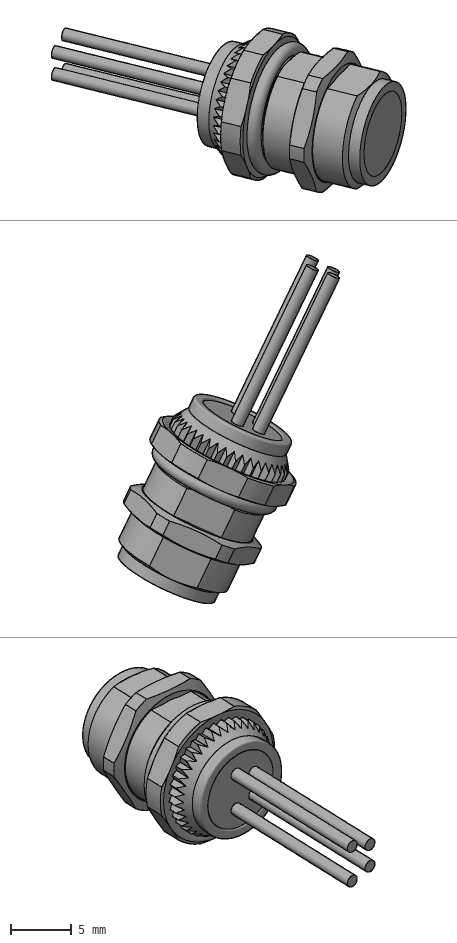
import cadquery as cq
import math


COLLAR_END = 1.18
TEETH_CREST_START = 2.4
FLANGE_START = 2.95
FLANGE_END = 5.0
THREAD_START = 6.05
THREAD_END = 13.95
HOUSING_END = 15.0
NUT_START = 8.95
NUT_END = 10.92

COLLAR_DIAMETER = 9.0
COLLAR_EDGE_RADIUS = 0.18
GROOVE_DIAMETER = 8.9
NOSE_DIAMETER = 8.9
THREAD_DIAMETER = 10.0
THREAD_ACROSS_FLATS = 9.0
THREAD_CHAMFER_LENGTH = 0.3
FLANGE_ACROSS_FLATS = 12.0
FLANGE_DIAMETER = 12.57
FLANGE_FACE_DIAMETER = 12.05
FLANGE_CHAMFER_LENGTH = 0.12
DISH_DIAMETER = 11.62
DISH_DEPTH = 0.3

CONE_BASE_DIAMETER = 8.75
TEETH_COUNT = 40
TEETH_CREST_DIAMETER = 10.62
TEETH_ROOT_DIAMETER = 9.74

BORE_DIAMETER = 7.25
BORE_MOUTH_RADIUS = 0.15
INSERT_RECESS = 0.18
WIRE_DIAMETER = 1.1
OVERALL_LENGTH = 29.5
WIRE_PROTRUSION = OVERALL_LENGTH - HOUSING_END
WIRE_CENTERS = [(0.47, 1.7), (-1.48, 1.05), (-1.48, -1.05), (0.47, -1.7)]

RING_INNER_DIAMETER = 9.0
RING_SECTION_DIAMETER = 1.18

NUT_BORE_DIAMETER = 9.17
NUT_ACROSS_FLATS = 11.0
NUT_DIAMETER = 12.0
NUT_FACE_DIAMETER = 10.2
NUT_CHAMFER_LENGTH = 0.32


def cylinder(diameter, start, end):
    return cq.Workplane("YZ", origin=(start, 0, 0)).circle(diameter / 2).extrude(end - start)


def turned(profile):
    """Revolve an outline of (x, radius) points around the X axis."""
    return cq.Workplane("XY").polyline(profile).close().revolve(360, (0, 0, 0), (1, 0, 0))


def double_chamfered_disc(diameter, face_diameter, chamfer_length, start, end):
    return turned([
        (start, 0),
        (start, face_diameter / 2),
        (start + chamfer_length, diameter / 2),
        (end - chamfer_length, diameter / 2),
        (end, face_diameter / 2),
        (end, 0),
    ])


def hex_prism(across_flats, start, end):
    """Hexagonal prism along X with two flats facing up and down."""
    corner_diameter = across_flats / math.cos(math.pi / 6)
    return cq.Workplane("YZ", origin=(start, 0, 0)).polygon(6, corner_diameter).extrude(end - start)


def make_toothed_cone(end):
    """Cone cut by axial V grooves, which leave pointed teeth."""
    start = COLLAR_END - COLLAR_EDGE_RADIUS
    cone = turned([
        (start, 0),
        (start, CONE_BASE_DIAMETER / 2),
        (TEETH_CREST_START, TEETH_CREST_DIAMETER / 2),
        (end, TEETH_CREST_DIAMETER / 2),
        (end, 0),
    ])
    star = []
    for step in range(2 * TEETH_COUNT):
        radius = (TEETH_CREST_DIAMETER if step % 2 else TEETH_ROOT_DIAMETER) / 2
        angle = math.pi * step / TEETH_COUNT
        star.append((radius * math.cos(angle), radius * math.sin(angle)))
    toothed_bar = cq.Workplane("YZ", origin=(start, 0, 0)).polyline(star).close().extrude(end - start)
    return cone.intersect(toothed_bar)


def make_flange():
    """Hexagonal flange with turned corners and a shallow conical dish in its rear face."""
    blank = double_chamfered_disc(
        FLANGE_DIAMETER, FLANGE_FACE_DIAMETER, FLANGE_CHAMFER_LENGTH, FLANGE_START, FLANGE_END
    )
    dish = turned([
        (FLANGE_START, 0),
        (FLANGE_START, DISH_DIAMETER / 2),
        (FLANGE_START + DISH_DEPTH, TEETH_ROOT_DIAMETER / 2),
        (FLANGE_START + DISH_DEPTH, 0),
    ])
    return blank.intersect(hex_prism(FLANGE_ACROSS_FLATS, FLANGE_START, FLANGE_END)).cut(dish)


def make_thread():
    """Thread envelope with chamfered ends and two flats facing up and down."""
    rod = double_chamfered_disc(
        THREAD_DIAMETER, NOSE_DIAMETER, THREAD_CHAMFER_LENGTH, THREAD_START, THREAD_END
    )
    flats = cq.Workplane("XY").box(
        THREAD_END - THREAD_START, THREAD_DIAMETER, THREAD_ACROSS_FLATS, centered=(False, True, True)
    )
    return rod.intersect(flats.translate((THREAD_START, 0, 0)))


def make_housing():
    """Shell with a rounded collar, toothed cone, flange, ring groove, thread and plain nose."""
    collar = cylinder(COLLAR_DIAMETER, 0, COLLAR_END).edges().fillet(COLLAR_EDGE_RADIUS)
    bore = cylinder(BORE_DIAMETER, 0, HOUSING_END)
    body = (
        collar
        .union(make_toothed_cone(FLANGE_START + DISH_DEPTH))
        .union(make_flange())
        .union(cylinder(GROOVE_DIAMETER, FLANGE_END, THREAD_START))
        .union(make_thread())
        .union(cylinder(NOSE_DIAMETER, THREAD_END, HOUSING_END))
        .cut(bore)
    )
    bore_mouth_edge = cq.selectors.RadiusNthSelector(0)
    return body.faces("<X").edges(bore_mouth_edge).fillet(BORE_MOUTH_RADIUS)


def make_wired_insert():
    """Insert that fills the housing bore, with the wires moulded into it."""
    insert = cylinder(BORE_DIAMETER, INSERT_RECESS, HOUSING_END)
    wires = (
        cq.Workplane("YZ", origin=(-WIRE_PROTRUSION, 0, 0))
        .pushPoints(WIRE_CENTERS)
        .circle(WIRE_DIAMETER / 2)
        .extrude(WIRE_PROTRUSION + INSERT_RECESS)
    )
    return insert.union(wires)


def make_sealing_ring():
    """Round-section ring seated in the groove, against the flange."""
    section_radius = RING_SECTION_DIAMETER / 2
    mean_radius = RING_INNER_DIAMETER / 2 + section_radius
    torus = cq.Solid.makeTorus(
        mean_radius,
        section_radius,
        cq.Vector(FLANGE_END + section_radius, 0, 0),
        cq.Vector(1, 0, 0),
    )
    return cq.Workplane(torus)


def make_nut():
    """Hexagonal nut with turned corners whose bore fits the flattened thread."""
    blank = double_chamfered_disc(NUT_DIAMETER, NUT_FACE_DIAMETER, NUT_CHAMFER_LENGTH, NUT_START, NUT_END)
    return (
        blank
        .intersect(hex_prism(NUT_ACROSS_FLATS, NUT_START, NUT_END))
        .cut(cylinder(NUT_BORE_DIAMETER, NUT_START, NUT_END))
        .cut(make_thread())
    )


housing = make_housing()
wired_insert = make_wired_insert()
sealing_ring = make_sealing_ring()
nut = make_nut()

result = cq.Compound.makeCompound([housing.val(), wired_insert.val(), sealing_ring.val(), nut.val()])